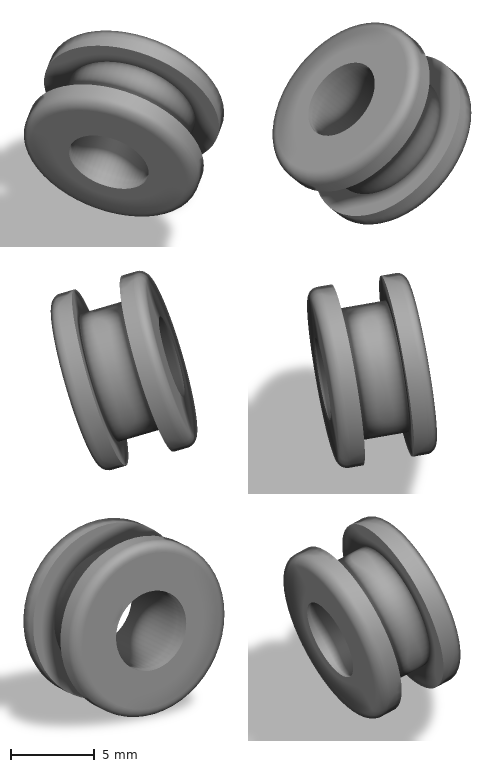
import cadquery as cq

flange_diameter = 11.0
total_width = 6.0
flange_width = 1.5
neck_diameter = 8.0
bore_diameter = 5.0
rim_radius = 0.6

neck_width = total_width - 2 * flange_width


def cylinder_along_y(diameter, width):
    """Cylinder on the Y axis, centred on the origin."""
    start_plane = cq.Workplane("XZ", origin=(0, width / 2, 0))
    return start_plane.circle(diameter / 2).extrude(width)


def flange(side):
    """Flange at the -Y (side = -1) or +Y (side = 1) end, rounded on its outer rim."""
    outer_face = "<Y" if side < 0 else ">Y"
    disc = cylinder_along_y(flange_diameter, flange_width)
    rounded = disc.faces(outer_face).edges().fillet(rim_radius)
    return rounded.translate((0, side * (neck_width + flange_width) / 2, 0))


neck = cylinder_along_y(neck_diameter, neck_width)
bore = cylinder_along_y(bore_diameter, total_width)

result = neck.union(flange(-1)).union(flange(1)).cut(bore)